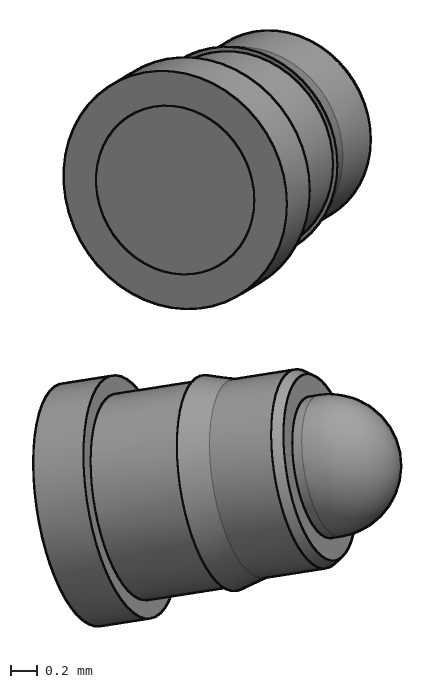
import cadquery as cq

total_length = 2.54
flange_radius = 0.915
barrel_radius = 0.777
barb_radius = 0.813
nose_radius = 0.75
plunger_radius = 0.533
plug_radius = 0.648

flange_thickness = 0.406
barb_start = 1.118
barb_end = 1.355
nose_end = 1.93
dome_start = total_length - plunger_radius

chamfer_length = 0.08
chamfer_depth = 0.048

plug_thickness = flange_thickness


def cylinder(radius, start, end):
    """Cylinder on the Y axis between two axial positions."""
    return cq.Workplane("XZ", origin=(0, start, 0)).circle(radius).extrude(start - end)


def revolve_about_y(profile):
    """Full turn of a closed radius/axis profile about the Y axis."""
    return profile.close().revolve(360, (0, 0, 0), (0, 1, 0))


def make_housing():
    """Flanged barrel with a retaining barb, a chamfered nose and a stepped bore."""
    profile = (
        cq.Workplane("XY")
        .moveTo(plug_radius, 0)
        .lineTo(flange_radius, 0)
        .lineTo(flange_radius, flange_thickness)
        .lineTo(barrel_radius, flange_thickness)
        .lineTo(barrel_radius, barb_start)
        .lineTo(barb_radius, barb_start)
        .lineTo(nose_radius, barb_end)
        .lineTo(nose_radius, nose_end - chamfer_length)
        .lineTo(nose_radius - chamfer_depth, nose_end)
        .lineTo(plunger_radius, nose_end)
        .lineTo(plunger_radius, plug_thickness)
        .lineTo(plug_radius, plug_thickness)
    )
    return revolve_about_y(profile)


def make_plunger():
    """Round pin with a hemispherical tip."""
    shank = cylinder(plunger_radius, plug_thickness, dome_start)
    tip = cq.Workplane("XY", origin=(0, dome_start, 0)).sphere(plunger_radius)
    return shank.union(tip)


def make_plug():
    """Disc that closes the flange end, flush with the flange face."""
    return cylinder(plug_radius, 0, plug_thickness)


housing = make_housing()
plunger = make_plunger()
plug = make_plug()

result = cq.Compound.makeCompound([housing.val(), plunger.val(), plug.val()])